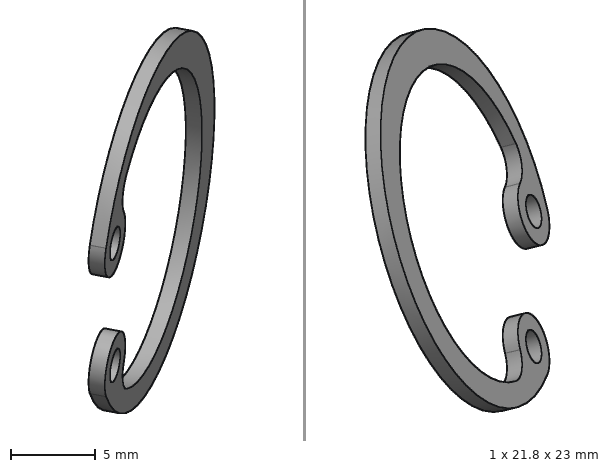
import cadquery as cq
import math

thickness = 1.0
outer_radius = 11.48
overall_width = 21.8
inner_radius = 9.62
inner_shift = 0.65
lug_radius = 2.05
hole_radius = 1.0
fillet_radius = 1.8

lug_y = outer_radius + lug_radius - overall_width
lug_z = math.sqrt((outer_radius - lug_radius) ** 2 - lug_y**2)
bore_y = -inner_shift

bore_to_fillet = inner_radius - fillet_radius
lug_to_fillet = lug_radius + fillet_radius
bore_to_lug = math.hypot(lug_y - bore_y, lug_z)
angle_at_bore = math.acos(
    (bore_to_fillet**2 + bore_to_lug**2 - lug_to_fillet**2) / (2 * bore_to_fillet * bore_to_lug)
)
fillet_angle = math.atan2(lug_z, lug_y - bore_y) - angle_at_bore


def polar(center, radius, angle):
    return (center[0] + radius * math.cos(angle), center[1] + radius * math.sin(angle))


def direction(start, end):
    return math.atan2(end[1] - start[1], end[0] - start[0])


def mirrored(point):
    return (point[0], -point[1])


lug_center = (lug_y, lug_z)
bore_center = (bore_y, 0)
fillet_center = polar(bore_center, bore_to_fillet, fillet_angle)

lug_angle = direction((0, 0), lug_center)
lug_outer = polar((0, 0), outer_radius, lug_angle)
lug_to_blend = direction(lug_center, fillet_center)
lug_inner = polar(lug_center, lug_radius, lug_to_blend)
lug_middle = polar(lug_center, lug_radius, (lug_angle + lug_to_blend + 2 * math.pi) / 2)
blend_end = polar(bore_center, inner_radius, fillet_angle)
blend_middle = polar(
    fillet_center, fillet_radius, (fillet_angle + lug_to_blend + math.pi) / 2
)

ring = (
    cq.Workplane("YZ", origin=(-thickness / 2, 0, 0))
    .moveTo(*lug_outer)
    .threePointArc(lug_middle, lug_inner)
    .threePointArc(blend_middle, blend_end)
    .threePointArc((bore_y + inner_radius, 0), mirrored(blend_end))
    .threePointArc(mirrored(blend_middle), mirrored(lug_inner))
    .threePointArc(mirrored(lug_middle), mirrored(lug_outer))
    .threePointArc((outer_radius, 0), lug_outer)
    .close()
    .extrude(thickness)
)

plier_holes = (
    cq.Workplane("YZ", origin=(-thickness / 2, 0, 0))
    .pushPoints([lug_center, mirrored(lug_center)])
    .circle(hole_radius)
    .extrude(thickness)
)

result = ring.cut(plier_holes)